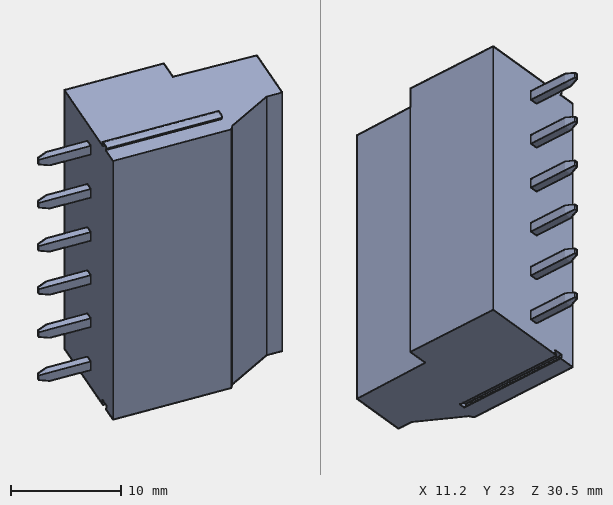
import cadquery as cq
import math

pole_count = 6
pitch = 5.0
housing_height = pole_count * pitch
housing_width = 11.2
housing_depth = 18.0
shoulder_y = 9.8
shoulder_x = 2.1
wall_draft = 1.0
top_right_x = 8.1
slope_start_y = 16.45
slope_end_x = 10.75
slope_end_y = 11.95
corner_y = 11.65

rail_x = 9.2
rail_length = 11.4
rail_height = 0.5
rail_half_width = 0.47
rail_half_neck = 0.3
rib_edge_radius = 0.2

pin_x = 5.7
pin_width = 0.78
pin_height = 1.0
pin_length = 5.0
pin_tip_length = 0.95
pin_tip_width = 0.3
pin_tip_height = 0.55


def make_housing():
    top_left_x = shoulder_x + (housing_depth - shoulder_y) * math.tan(math.radians(wall_draft))
    outline = [
        (0, 0),
        (housing_width, 0),
        (housing_width, corner_y),
        (slope_end_x, slope_end_y),
        (top_right_x, slope_start_y),
        (top_right_x, housing_depth),
        (top_left_x, housing_depth),
        (shoulder_x, shoulder_y),
        (0, shoulder_y),
    ]
    return cq.Workplane("XY").polyline(outline).close().extrude(housing_height)


def make_rib():
    """Dovetail bar with slanted flanks and two rounded upper edges."""
    top_z = housing_height + rail_height
    widest_z = top_z - rib_edge_radius
    half_flat = rail_half_width - rib_edge_radius
    diagonal = rib_edge_radius * math.sqrt(0.5)
    return (
        cq.Workplane("XZ")
        .moveTo(rail_x - rail_half_neck, housing_height)
        .lineTo(rail_x + rail_half_neck, housing_height)
        .lineTo(rail_x + rail_half_width, widest_z)
        .threePointArc((rail_x + half_flat + diagonal, widest_z + diagonal), (rail_x + half_flat, top_z))
        .lineTo(rail_x - half_flat, top_z)
        .threePointArc((rail_x - half_flat - diagonal, widest_z + diagonal), (rail_x - rail_half_width, widest_z))
        .close()
        .extrude(-rail_length)
    )


def make_groove():
    """Dovetail slot with a narrow mouth and upright inner walls."""
    half_profile = [
        (rail_half_neck, 0),
        (rail_half_width, rail_height / 2),
        (rail_half_width, rail_height),
    ]
    right_side = [(rail_x + half_width, z) for half_width, z in half_profile]
    left_side = [(rail_x - half_width, z) for half_width, z in reversed(half_profile)]
    return cq.Workplane("XZ").polyline(right_side + left_side).close().extrude(-rail_length)


def make_pin(z):
    shank_length = pin_length - pin_tip_length
    pin_plane = cq.Workplane("XZ", origin=(pin_x, 0, z))
    shank = pin_plane.rect(pin_width, pin_height).extrude(shank_length)
    tip = (
        pin_plane.workplane(offset=shank_length)
        .rect(pin_width, pin_height)
        .workplane(offset=pin_tip_length)
        .rect(pin_tip_width, pin_tip_height)
        .loft(ruled=True)
    )
    return shank.union(tip)


result = make_housing().union(make_rib()).cut(make_groove())
for pole in range(pole_count):
    result = result.union(make_pin((pole + 0.5) * pitch))